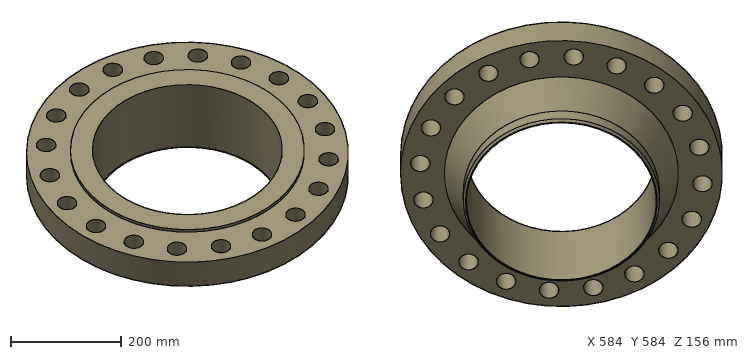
import cadquery as cq

flange_diameter = 584.0
flange_thickness = 60.0
face_diameter = 425.0
face_height = 6.5
total_height = 156.0

hub_base_diameter = 425.0
neck_diameter = 356.5
neck_end_diameter = 348.0
bore_diameter = 344.5
bevel_height = 4.5
neck_height = 25.0

bolt_count = 20
bolt_circle_diameter = 514.0
bolt_hole_diameter = 35.0

neck_top = bevel_height + neck_height
flange_top = total_height - face_height
flange_bottom = flange_top - flange_thickness


def make_body():
    """Revolve the section of the hub, flange and raised face around Z."""
    section = [
        (bore_diameter / 2, 0),
        (neck_end_diameter / 2, 0),
        (neck_diameter / 2, bevel_height),
        (neck_diameter / 2, neck_top),
        (hub_base_diameter / 2, flange_bottom),
        (flange_diameter / 2, flange_bottom),
        (flange_diameter / 2, flange_top),
        (face_diameter / 2, flange_top),
        (face_diameter / 2, total_height),
        (bore_diameter / 2, total_height),
    ]
    return cq.Workplane("XZ").polyline(section).close().revolve(360, (0, 0, 0), (0, 1, 0))


def make_bolt_holes():
    """Cylinders that pass through the flange at every bolt position."""
    half_pitch = 360 / bolt_count / 2
    return (
        cq.Workplane("XY", origin=(0, 0, flange_bottom))
        .polarArray(bolt_circle_diameter / 2, half_pitch, 360, bolt_count)
        .circle(bolt_hole_diameter / 2)
        .extrude(flange_thickness)
    )


result = make_body().cut(make_bolt_holes())